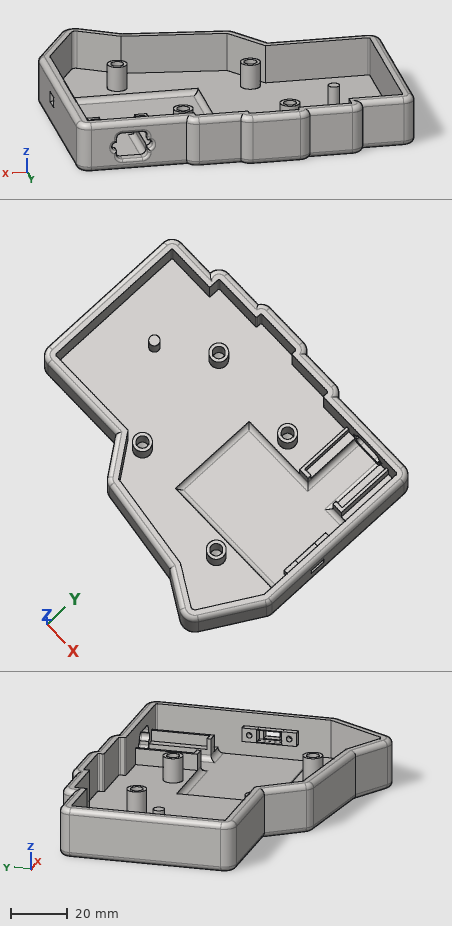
import cadquery as cq
import math


board_width = 112.46
board_clearance = 0.5
wall = 4.0
case_height = 18.0
floor_top = 4.0
edge_round = 2.0
step_round = 0.5

rear_steps = [(0.0, 55.2), (19.3, 59.7), (38.5, 61.95), (55.5, 59.7), (74.3, 57.25)]

thumb_angle = math.radians(30)
thumb_tip = (99.75, -28.1)
thumb_tip_radius = 1.0
thumb_start_x = 84.8
palm_corner = (47.8, -14.5)
front_edge_end_x = 37.15

cavity_right = board_width + board_clearance
cavity_rear_right = rear_steps[-1][1] + board_clearance

post_places = [(37.25, 42.8), (75.05, 40.5), (42.6, 1.1), (88.75, -6.6)]
post_diameter = 7.0
post_hole_diameter = 4.5
post_height = 9.0
drill_tip_angle = math.radians(118)
pin_place = (18.6, 29.3)
pin_diameter = 4.0
pin_height = 9.0

recess_depth = 2.0
recess_left = 61.1
recess_front = -0.3
recess_rear = 35.1
channel_center_x = 97.7
channel_width = 12.8

rail_width = 4.3
rail_lip = 1.1
rail_stop = 1.5
rail_height = 6.0
rail_shelf_height = 2.0
opening_width = 11.2
opening_height = 9.8
opening_corner = 2.0
opening_center_z = 8.75
opening_edge_round = 1.0
opening_slot_length = 14.5
opening_slot_height = 3.2

switch_center_y = 15.7
switch_center_z = 10.4
mount_length = 20.0
mount_height = 5.0
mount_thickness = 2.5
switch_body_length = 9.2
switch_body_height = 4.4
switch_body_depth = 3.5
lever_slot_length = 6.0
lever_slot_height = 3.8
switch_screw_diameter = 2.0
switch_screw_spacing = 14.6


def box(x_range, y_range, z_range):
    """Axis-aligned block between the given limits."""
    size = [high - low for low, high in (x_range, y_range, z_range)]
    corner = (x_range[0], y_range[0], z_range[0])
    return cq.Workplane("XY").box(*size, centered=False).translate(corner)


def board_wire():
    """Closed outline of the board, clockwise from its front-left corner."""
    tip_x, tip_y = thumb_tip
    radius = thumb_tip_radius
    cosine = math.cos(thumb_angle)
    sine = math.sin(thumb_angle)
    inner_y = tip_y + (tip_x - thumb_start_x) * math.tan(thumb_angle)
    outer_y = tip_y + (board_width - tip_x) / math.tan(thumb_angle)

    arc_start = (tip_x + radius * sine, tip_y + radius * cosine)
    arc_end = (tip_x - radius * cosine, tip_y + radius * sine)
    arc_center = (arc_start[0] - radius * cosine, arc_start[1] + radius * sine)
    to_tip = radius / math.hypot(tip_x - arc_center[0], tip_y - arc_center[1])
    arc_middle = tuple(c + to_tip * (t - c) for c, t in zip(arc_center, thumb_tip))

    rear_points = [(0.0, 0.0)]
    right_ends = [left for left, y in rear_steps[1:]] + [board_width]
    for (left, y), right in zip(rear_steps, right_ends):
        rear_points += [(left, y), (right, y)]
    outline = cq.Workplane("XY").polyline(rear_points)
    outline = outline.lineTo(board_width, outer_y).lineTo(*arc_start)
    outline = outline.threePointArc(arc_middle, arc_end)
    outline = outline.lineTo(thumb_start_x, inner_y).lineTo(*palm_corner).lineTo(front_edge_end_x, 0.0)
    return outline.close()


def grown_board(growth, height):
    """Prism of the board outline grown by a margin with rounded outer corners."""
    return board_wire().offset2D(growth, "arc").extrude(height)


def bump_corners():
    """Cavity corners where the wall steps in on either side of the tallest column."""
    tallest = max(range(len(rear_steps)), key=lambda index: rear_steps[index][1])
    corners = [(rear_steps[tallest][0] - board_clearance, rear_steps[tallest - 1][1] + board_clearance)]
    for x, y in rear_steps[tallest + 1:]:
        corners.append((x + board_clearance, y + board_clearance))
    return corners


def make_cavity():
    """Space inside the walls, with the projecting corners at the rear bump rounded."""
    cavity = grown_board(board_clearance, case_height)
    for x, y in bump_corners():
        corner = cq.selectors.NearestToPointSelector((x, y, case_height / 2))
        cavity = cavity.edges("|Z").edges(corner).fillet(step_round)
    return cavity.translate((0, 0, floor_top))


def make_shell():
    outer = grown_board(board_clearance + wall, case_height)
    outer = outer.faces("<Z or >Z").edges().fillet(edge_round)
    return outer.cut(make_cavity())


def make_posts():
    return cq.Workplane("XY", origin=(0, 0, floor_top)).pushPoints(post_places).circle(
        post_diameter / 2).extrude(post_height)


def make_post_holes():
    """Blind holes down to floor level, ending in a drill-tip cone."""
    radius = post_hole_diameter / 2
    tip_depth = radius / math.tan(drill_tip_angle / 2)
    profile = [(0, -tip_depth), (radius, 0), (radius, post_height), (0, post_height)]
    hole = cq.Workplane("XZ").polyline(profile).close().revolve(360, (0, 0, 0), (0, 1, 0))
    holes = cq.Workplane("XY")
    for x, y in post_places:
        holes = holes.add(hole.translate((x, y, floor_top)))
    return holes.combine()


def make_pin():
    return cq.Workplane("XY", origin=(*pin_place, floor_top)).circle(pin_diameter / 2).extrude(pin_height)


def make_recess():
    """Shallow floor recess with a channel to the rear wall and a coved bottom edge."""
    z_range = (floor_top - recess_depth, floor_top + recess_depth)
    overrun = 2 * recess_depth
    half_channel = channel_width / 2
    main = box((recess_left, cavity_right + overrun), (recess_front, recess_rear), z_range)
    channel = box(
        (channel_center_x - half_channel, channel_center_x + half_channel),
        (recess_front + overrun, cavity_rear_right + overrun),
        z_range,
    )
    recess = main.union(channel, clean=True).faces("<Z").edges().fillet(recess_depth)
    limits = box((0, cavity_right), (thumb_tip[1], cavity_rear_right), (0, floor_top))
    return recess.intersect(limits)


def make_rail(side):
    """Stepped rail beside the channel: low shelf inside, lip outside, stop at the front."""
    inner = channel_width / 2
    outer = inner + rail_width
    top = floor_top + rail_height
    rail = box((inner, outer), (recess_rear, cavity_rear_right), (floor_top, top))
    seat = box(
        (inner, outer - rail_lip),
        (recess_rear + rail_stop, cavity_rear_right),
        (floor_top + rail_shelf_height, top),
    )
    rail = rail.cut(seat)
    if side < 0:
        rail = rail.mirror("YZ")
    return rail.translate((channel_center_x, 0, 0))


def flared(tool):
    """Cutter for the rear wall made from a straight tool, with a rounded outer rim."""
    half_block = opening_slot_length
    block = box(
        (channel_center_x - half_block, channel_center_x + half_block),
        (cavity_rear_right, cavity_rear_right + wall),
        (opening_center_z - half_block, opening_center_z + half_block),
    )
    pierced = block.cut(tool)
    rim = pierced.faces(">Y").wires(cq.selectors.LengthNthSelector(0)).edges()
    return block.cut(rim.fillet(opening_edge_round))


def make_opening():
    """Rounded rectangle with a wider slot across its middle, through the rear wall."""
    plane = cq.Workplane("XZ", origin=(channel_center_x, cavity_rear_right, opening_center_z))
    body = plane.rect(opening_width, opening_height).extrude(-wall)
    body = body.edges("|Y").fillet(opening_corner)
    slot = plane.slot2D(opening_slot_length, opening_slot_height).extrude(-wall)
    return flared(body).union(flared(slot))


def make_switch_mount():
    return cq.Workplane("XY").box(mount_thickness, mount_length, mount_height).translate(
        (cavity_right - mount_thickness / 2, switch_center_y, switch_center_z))


def make_switch_cuts():
    """Body pocket, lever slot through the wall and two screw holes."""
    face_x = cavity_right - mount_thickness
    plane = cq.Workplane("YZ", origin=(face_x, switch_center_y, switch_center_z))
    body = plane.rect(switch_body_length, switch_body_height).extrude(switch_body_depth)
    lever = plane.rect(lever_slot_length, lever_slot_height).extrude(mount_thickness + 2 * wall)
    screws = plane.rarray(switch_screw_spacing, 1, 2, 1).circle(
        switch_screw_diameter / 2).extrude(switch_body_depth)
    return body.union(lever).union(screws)


result = make_shell().cut(make_recess())
result = result.union(make_posts()).union(make_pin()).cut(make_post_holes())
for side in (-1, 1):
    result = result.union(make_rail(side))
result = result.cut(make_opening())
result = result.union(make_switch_mount()).cut(make_switch_cuts())